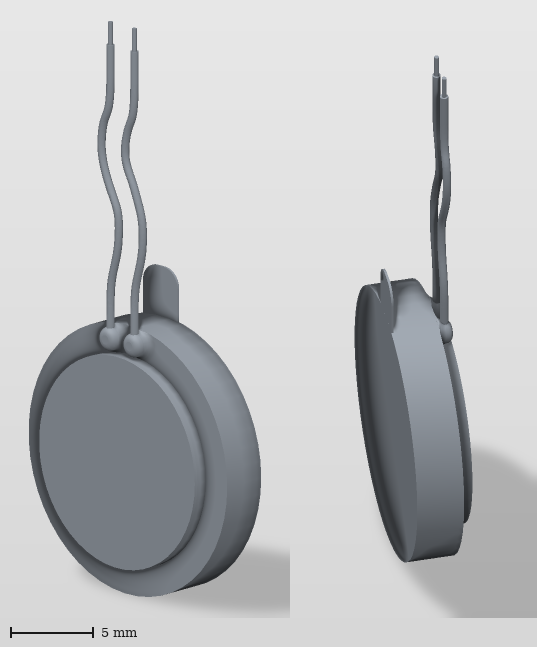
import cadquery as cq
import math

depth = 3.85
housing_radius = 8.5
step_radius = 6.65
step_height = 0.95
cover_thickness = 0.2

tab_width = 2.95
tab_top_z = 11.63
tab_corner_radius = 1.15
tab_thickness = 0.15

mound_spacing = 2.05
mound_z = 7.52
mound_round = step_height / 2
mound_flat_radius = 0.3
mound_waist_radius = mound_flat_radius + mound_round
mound_foot_radius = mound_waist_radius + mound_round

wire_y = mound_round
wire_radius = 0.25
bare_radius = 0.15
bend_start_z = 9.58
bend_end_z = 24.0
insulation_end_z = 26.05
wire_top_z = 36 - housing_radius
left_bend = [(0.15, 11.38), (0.55, 12.9), (0.72, 14.55), (0.6, 15.62), (0.07, 16.8),
             (-0.32, 17.68), (-0.75, 19.4), (-0.58, 21.02)]
right_bend = [(0.15, 11.38), (0.55, 12.9), (0.72, 14.55), (0.6, 15.62), (0.2, 16.8),
              (-0.15, 17.68), (-0.75, 19.1), (-0.55, 21.02)]


def disc(radius, front_y, back_y):
    """Cylinder on the motor axis between two Y positions."""
    return cq.Workplane("XZ", origin=(0, back_y, 0)).circle(radius).extrude(back_y - front_y)


def make_housing():
    rim = disc(housing_radius, step_height, depth)
    step = disc(step_radius, cover_thickness, step_height)
    return rim.union(step)


def make_cover():
    return disc(step_radius, 0, cover_thickness)


def make_tab():
    """Round-cornered strip whose lower end follows the housing rim."""
    strip = (
        cq.Workplane("XY")
        .box(tab_width, tab_thickness, tab_top_z, centered=(True, False, False))
        .edges("|Y and >Z")
        .fillet(tab_corner_radius)
        .translate((0, depth - tab_thickness, 0))
    )
    return strip.cut(disc(housing_radius, 0, depth))


def make_wire(x, bend):
    """Straight lower end, sideways bend, straight upper end and bare tip."""
    bend_points = [(x, bend_start_z)] + [(x + offset, z) for offset, z in bend] + [(x, bend_end_z)]
    path = cq.Workplane("XZ", origin=(0, wire_y, 0)).spline(bend_points, tangents=[(0, 1), (0, 1)])

    def straight(radius, bottom_z, top_z):
        return cq.Workplane("XY", origin=(x, wire_y, bottom_z)).circle(radius).extrude(top_z - bottom_z)

    bent = cq.Workplane("XY", origin=(x, wire_y, bend_start_z)).circle(wire_radius).sweep(path)
    return (
        straight(wire_radius, mound_z, bend_start_z)
        .union(bent)
        .union(straight(wire_radius, bend_end_z, insulation_end_z))
        .union(straight(bare_radius, insulation_end_z, wire_top_z))
    )


def make_mound(x):
    """Revolved boss: convex quarter round at the front, concave quarter round at the foot."""
    diagonal = mound_round * math.sqrt(0.5)
    profile = (
        cq.Workplane("XY")
        .lineTo(mound_flat_radius, 0)
        .threePointArc(
            (mound_flat_radius + diagonal, mound_round - diagonal),
            (mound_waist_radius, mound_round),
        )
        .threePointArc(
            (mound_foot_radius - diagonal, mound_round + diagonal),
            (mound_foot_radius, step_height),
        )
        .lineTo(0, step_height)
        .close()
    )
    return profile.revolve(360, (0, 0), (0, 1)).translate((x, 0, mound_z))


def make_solder(wires):
    """Two merged mounds trimmed to the housing rim and step, with a hole for each wire end."""
    solder = make_mound(-mound_spacing / 2).union(make_mound(mound_spacing / 2))
    solder = solder.intersect(disc(housing_radius, 0, step_height))
    solder = solder.cut(disc(step_radius, 0, step_height))
    for wire in wires:
        solder = solder.cut(wire)
    return solder


housing = make_housing()
cover = make_cover()
tab = make_tab()
wires = []
for side, bend in ((-1, left_bend), (1, right_bend)):
    wires.append(make_wire(side * mound_spacing / 2, bend))
solder = make_solder(wires)

result = cq.Compound.makeCompound(
    [housing.val(), cover.val(), tab.val(), *solder.vals(), *[wire.val() for wire in wires]]
)